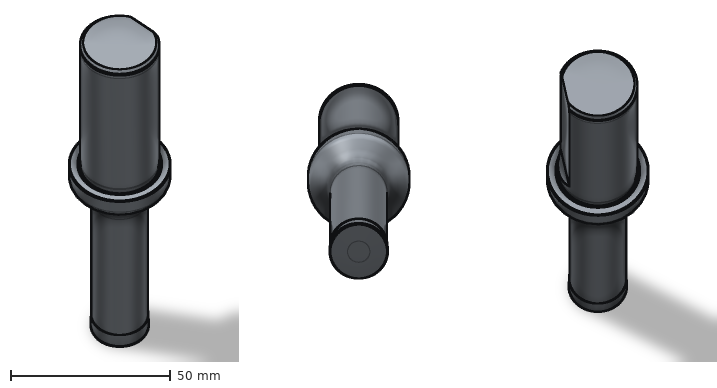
import cadquery as cq


shank_length = 56.0
shank_radius = 24.99 / 2
tip_chamfer = 1.0

groove_radius = 24.5 / 2
groove_start_depth = 1.3
groove_bottom_depth = 2.1
groove_end_depth = 3.2

flat_y = 10.5
flat_bottom_z = 5.6

undercut_radius = 24.8 / 2
undercut_height = 2.0
undercut_taper_height = 0.5
seat_recess_radius = 13.3
seat_recess_depth = 0.2
seat_recess_floor_radius = 12.95

flange_radius = 32.0 / 2
flange_thickness = 5.0
flange_chamfer = 0.3
stem_radius = 17.9 / 2
transition_length = 11.0
transition_upper_point = (14.8, -7.5)
transition_lower_point = (11.65, -10.2)

total_length = 131.0
head_length = 5.8
head_top_radius = 18.1 / 2
head_radius = 18.4 / 2
head_chamfer_width = 0.3
head_chamfer_height = 0.7
head_point_height = 0.2
head_end_radius = 3.5

head_bottom_z = shank_length - total_length
head_top_z = head_bottom_z + head_length


def make_turned_profile():
    """Half section of the holder in the XZ plane, X being the radius."""
    transition_points = [
        transition_upper_point,
        transition_lower_point,
        (stem_radius, -flange_thickness - transition_length),
    ]
    return (
        cq.Workplane("XZ")
        .moveTo(0, shank_length)
        .lineTo(shank_radius - tip_chamfer, shank_length)
        .lineTo(shank_radius, shank_length - tip_chamfer)
        .lineTo(shank_radius, shank_length - groove_start_depth)
        .lineTo(groove_radius, shank_length - groove_bottom_depth)
        .lineTo(shank_radius, shank_length - groove_end_depth)
        .lineTo(shank_radius, undercut_height)
        .lineTo(undercut_radius, undercut_height - undercut_taper_height)
        .lineTo(undercut_radius, -seat_recess_depth)
        .lineTo(seat_recess_floor_radius, -seat_recess_depth)
        .lineTo(seat_recess_radius, 0)
        .lineTo(flange_radius - flange_chamfer, 0)
        .lineTo(flange_radius, -flange_chamfer)
        .lineTo(flange_radius, -flange_thickness)
        .spline(transition_points, tangents=[(0, -1), (0, -1)], includeCurrent=True)
        .lineTo(stem_radius, head_top_z)
        .lineTo(0, head_top_z)
        .close()
    )


def make_flat_cutter():
    """Block beyond the clamping flat, with a 45 degree run-out at its lower end."""
    flat_depth = shank_radius - flat_y
    return (
        cq.Workplane("YZ")
        .moveTo(flat_y, shank_length)
        .lineTo(flat_y, flat_bottom_z)
        .lineTo(shank_radius, flat_bottom_z - flat_depth)
        .lineTo(shank_radius, shank_length)
        .close()
        .extrude(shank_radius, both=True)
    )


def make_holder():
    turned = make_turned_profile().revolve(360, (0, 0, 0), (0, 1, 0))
    return turned.cut(make_flat_cutter())


def make_head():
    """Head that widens slightly downwards, with a chamfered rim and a shallow cone down to a flat end."""
    rim_z = head_bottom_z + head_point_height
    return (
        cq.Workplane("XZ")
        .moveTo(0, head_top_z)
        .lineTo(head_top_radius, head_top_z)
        .lineTo(head_radius, rim_z + head_chamfer_height)
        .lineTo(head_radius - head_chamfer_width, rim_z)
        .lineTo(head_end_radius, head_bottom_z)
        .lineTo(0, head_bottom_z)
        .close()
        .revolve(360, (0, 0, 0), (0, 1, 0))
    )


holder = make_holder()
head = make_head()
result = cq.Compound.makeCompound([holder.val(), head.val()])